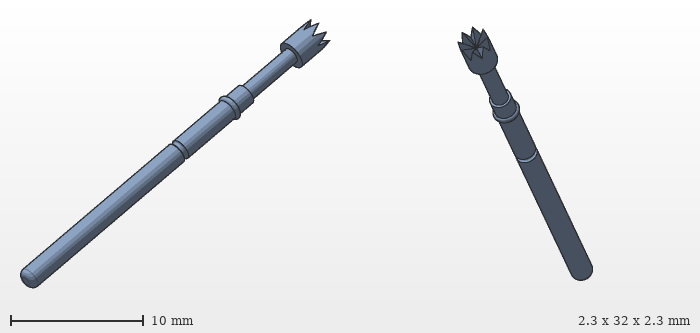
import cadquery as cq
import math

total_length = 32.0

barrel_diameter = 1.7
barrel_radius = barrel_diameter / 2
barrel_length = 24.0
rear_flat_radius = 0.35
rear_round_length = 0.4

collar_rear = 22.0
collar_width = 0.48
collar_height = 0.2

groove_center = 16.67
groove_width = 0.45
groove_depth = 0.22

shaft_radius = 0.65

crown_radius = 1.15
crown_length = 3.0
tooth_count = 8
tooth_depth = 1.15


def make_barrel():
    """Revolve the barrel outline (radius, Y) with its rounded end, groove and collar."""
    groove_rear = groove_center - groove_width / 2
    groove_front = groove_center + groove_width / 2
    collar_front = collar_rear + collar_width
    collar_middle = collar_rear + collar_width / 2
    outline = (
        cq.Workplane("XY")
        .lineTo(rear_flat_radius, 0)
        .tangentArcPoint((barrel_radius, rear_round_length), relative=False)
        .lineTo(barrel_radius, groove_rear)
        .threePointArc((barrel_radius - groove_depth, groove_center), (barrel_radius, groove_front))
        .lineTo(barrel_radius, collar_rear)
        .threePointArc((barrel_radius + collar_height, collar_middle), (barrel_radius, collar_front))
        .lineTo(barrel_radius, barrel_length)
        .lineTo(0, barrel_length)
        .close()
    )
    return outline.revolve(360, (0, 0, 0), (0, 1, 0))


def make_rod(radius, start, end):
    """Round rod along the probe axis from Y = start to Y = end."""
    return cq.Workplane("XZ", origin=(0, start, 0)).circle(radius).extrude(start - end)


def make_notch(angle):
    """V-shaped bar that cuts one straight notch across the whole crown."""
    half_width = crown_radius * math.sin(math.pi / tooth_count)
    overshoot = 2.0
    bar_reach = 2 * crown_radius
    bar = (
        cq.Workplane("XY")
        .moveTo(0, total_length - tooth_depth)
        .lineTo(half_width * overshoot, total_length + tooth_depth * (overshoot - 1))
        .lineTo(-half_width * overshoot, total_length + tooth_depth * (overshoot - 1))
        .close()
        .extrude(bar_reach, both=True)
    )
    return bar.rotate((0, 0, 0), (0, 1, 0), angle)


def make_crown():
    """Cylindrical head whose crossing V-notches leave a ring of pointed teeth."""
    crown = make_rod(crown_radius, total_length - crown_length, total_length)
    tooth_pitch = 360 / tooth_count
    for i in range(tooth_count // 2):
        crown = crown.cut(make_notch((i + 0.5) * tooth_pitch))
    return crown


shaft = make_rod(shaft_radius, barrel_length, total_length - crown_length)
result = make_barrel().union(shaft).union(make_crown())